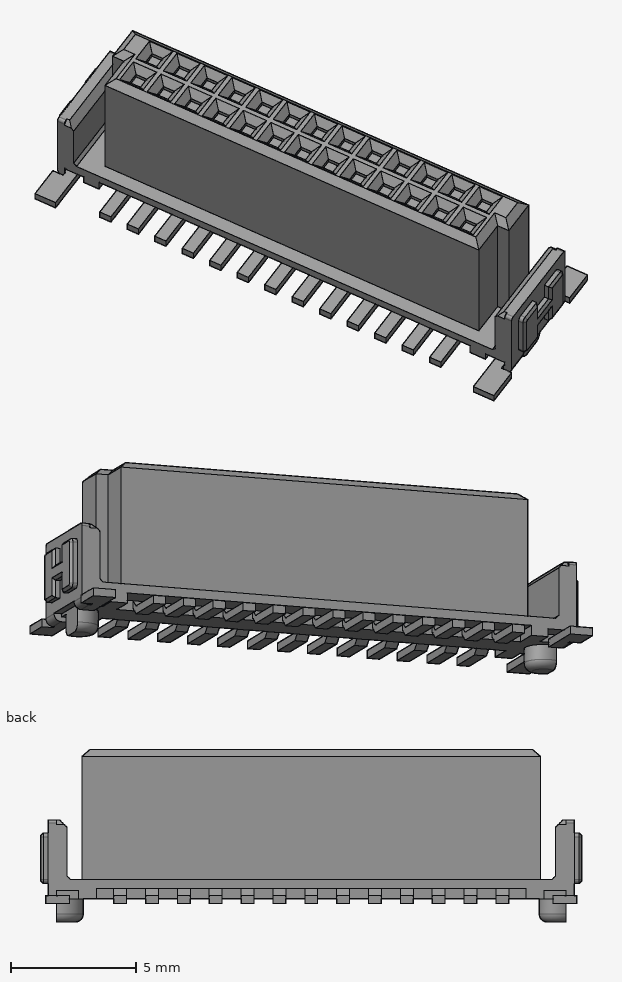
import cadquery as cq

LEAD_THICKNESS = 0.32
BODY_BOTTOM = 0.2
FLOOR_TOP = 0.97
WALL_TOP = 3.35
TOWER_TOP = 6.15

CUT_MARGIN = 0.22

COLUMNS = 13
ROW_LENGTH = 15.25
PITCH = ROW_LENGTH / (COLUMNS - 1)
FIRST_COLUMN_X = -ROW_LENGTH / 2

BASE_WIDTH = 4.23
WALL_OUTER_X = 10.17
WALL_INNER_X = 9.74
WALL_END_CHAMFER = 0.2
WALL_INNER_CHAMFER = 0.3
FLOOR_CHAMFER = 0.13

TOWER_WIDTH = 3.07
REAR_END_X = 9.15
FRONT_END_X = 8.64
STEP_Y = -0.05
TOWER_CHAMFER_RUN = 0.32
TOWER_CHAMFER_DROP = 0.28

SOCKET_MOUTH = 1.08
SOCKET_HOLE = 0.5
FUNNEL_DEPTH = 0.3
HOLE_DEPTH = 0.15

LEAD_WIDTH = 0.52
LEAD_TIP_Y = 3.24
LEAD_BEND_Y = 1.2
LEAD_RISE_RUN = 0.35
UNDERCUT_LENGTH = 17.15
UNDERCUT_TOP = 0.6
UNDERCUT_Y = 0.86
LEAD_ROOT_Y = 0.65

PLATE_OUTER_X = 10.5
PLATE_CORNER = 0.13
FOOT_INNER_X = 9.65
FOOT_INNER_Y = 1.17
FOOT_BEND_RADIUS = 0.3
WING_OUTER_X = 10.6
WING_START_Y = 2.29
WING_SPAN = 7.4
NECK_OUTER_X = 10.13
FOOT_POCKET_X = 9.28
FOOT_POCKET_TOP = 0.52

EMBOSS_OUTER_X = 10.8
EMBOSS_WIDTH = 3.1
EMBOSS_HEIGHT = 2.03
EMBOSS_CENTER_Z = 1.81
EMBOSS_GAP = 0.95
EMBOSS_BAR_HEIGHT = 0.6
EMBOSS_CORNER = 0.17
EMBOSS_CHAMFER = 0.1

PEG_RADIUS = 0.75
PEG_CENTER_X = 9.85
PEG_BOTTOM = -0.73
PEG_FILLET = 0.32


def block(x, y, z):
    """Box given by its (low, high) limits along each axis."""
    size = (x[1] - x[0], y[1] - y[0], z[1] - z[0])
    return cq.Workplane("XY").box(*size, centered=False).translate((x[0], y[0], z[0]))


def both_sides(shape, plane):
    """Shape joined with its mirror image."""
    return shape.union(shape.mirror(plane))


def repeated(shape, points):
    """Copies of the shape at the given (x, y) points."""
    return cq.Workplane("XY").pushPoints(points).eachpoint(
        lambda place: shape.val().moved(place), combine=False
    )


def make_base():
    base = block(
        (-WALL_OUTER_X, WALL_OUTER_X), (-BASE_WIDTH / 2, BASE_WIDTH / 2), (BODY_BOTTOM, WALL_TOP)
    )
    valley = block(
        (-WALL_INNER_X, WALL_INNER_X), (-BASE_WIDTH, BASE_WIDTH), (FLOOR_TOP, WALL_TOP + CUT_MARGIN)
    ).edges("|Y and <Z").chamfer(FLOOR_CHAMFER)
    base = base.cut(valley)
    base = base.faces(">Z").edges("|X").chamfer(WALL_END_CHAMFER)
    for side in (-1, 1):
        inner_edge = cq.selectors.NearestToPointSelector((side * WALL_INNER_X, 0, WALL_TOP))
        base = base.edges(inner_edge).chamfer(WALL_INNER_CHAMFER)
    undercut = block(
        (-UNDERCUT_LENGTH / 2, UNDERCUT_LENGTH / 2), (-BASE_WIDTH, -UNDERCUT_Y), (0, UNDERCUT_TOP)
    )
    foot_pocket = block(
        (-WALL_OUTER_X - CUT_MARGIN, -FOOT_POCKET_X), (-BASE_WIDTH, -FOOT_INNER_Y), (0, FOOT_POCKET_TOP)
    )
    pockets = undercut.union(both_sides(foot_pocket, "YZ"))
    return base.cut(both_sides(pockets, "XZ"))


def tower_outline(inset):
    """Stepped outline of the tower, drawn in by the given inset."""
    rear_x = REAR_END_X - inset
    front_x = FRONT_END_X - inset
    side_y = TOWER_WIDTH / 2 - inset
    step_y = STEP_Y + inset
    return [
        (-rear_x, side_y),
        (rear_x, side_y),
        (rear_x, step_y),
        (front_x, step_y),
        (front_x, -side_y),
        (-front_x, -side_y),
        (-front_x, step_y),
        (-rear_x, step_y),
    ]


def make_tower():
    shoulder = TOWER_TOP - TOWER_CHAMFER_DROP
    tower = (
        cq.Workplane("XY", origin=(0, 0, FLOOR_TOP))
        .polyline(tower_outline(0)).close().extrude(shoulder - FLOOR_TOP)
    )
    bevel = (
        cq.Workplane("XY", origin=(0, 0, shoulder))
        .polyline(tower_outline(0)).close()
        .workplane(offset=TOWER_CHAMFER_DROP)
        .polyline(tower_outline(TOWER_CHAMFER_RUN)).close()
        .loft(ruled=True)
    )
    return tower.union(bevel)


def make_socket():
    """Funnel-mouthed square cavity."""
    funnel = (
        cq.Workplane("XY", origin=(0, 0, TOWER_TOP))
        .rect(SOCKET_MOUTH, SOCKET_MOUTH)
        .workplane(offset=-FUNNEL_DEPTH)
        .rect(SOCKET_HOLE, SOCKET_HOLE)
        .loft(ruled=True)
    )
    hole = (
        cq.Workplane("XY", origin=(0, 0, TOWER_TOP - FUNNEL_DEPTH))
        .rect(SOCKET_HOLE, SOCKET_HOLE).extrude(-HOLE_DEPTH)
    )
    return funnel.union(hole)


def make_lead():
    """Front lead: a flat solder tail that rises at its inner end into the base."""
    rise_end_y = -LEAD_BEND_Y + LEAD_RISE_RUN
    rise = UNDERCUT_TOP - LEAD_THICKNESS
    return (
        cq.Workplane("YZ", origin=(-LEAD_WIDTH / 2, 0, 0))
        .moveTo(-LEAD_TIP_Y, 0)
        .lineTo(-LEAD_BEND_Y, 0)
        .lineTo(rise_end_y, rise)
        .lineTo(-LEAD_ROOT_Y, rise)
        .lineTo(-LEAD_ROOT_Y, UNDERCUT_TOP)
        .lineTo(rise_end_y, UNDERCUT_TOP)
        .lineTo(-LEAD_BEND_Y, LEAD_THICKNESS)
        .lineTo(-LEAD_TIP_Y, LEAD_THICKNESS)
        .close().extrude(LEAD_WIDTH)
    )


def make_plate():
    """Left hold-down plate with its two bent solder feet."""
    plate = block(
        (-PLATE_OUTER_X, -WALL_OUTER_X), (-BASE_WIDTH / 2, BASE_WIDTH / 2), (LEAD_THICKNESS, WALL_TOP)
    ).edges("|X and >Z").fillet(PLATE_CORNER)
    thickness = (0, LEAD_THICKNESS)
    foot = block(
        (-PLATE_OUTER_X, -FOOT_INNER_X), (-BASE_WIDTH / 2, -FOOT_INNER_Y), thickness
    ).edges("|Y and <X and <Z").fillet(FOOT_BEND_RADIUS)
    neck = block((-NECK_OUTER_X, -FOOT_INNER_X), (-WING_START_Y, -BASE_WIDTH / 2), thickness)
    wing = block((-WING_OUTER_X, -FOOT_INNER_X), (-WING_SPAN / 2, -WING_START_Y), thickness)
    return plate.union(both_sides(foot.union(neck).union(wing), "XZ"))


def make_emboss():
    """Left H-shaped embossing with rounded outer corners and a bevelled rim."""
    notch_height = (EMBOSS_HEIGHT - EMBOSS_BAR_HEIGHT) / 2
    notch_z = (EMBOSS_BAR_HEIGHT + notch_height) / 2
    height = EMBOSS_OUTER_X - PLATE_OUTER_X
    plane = cq.Workplane("YZ", origin=(-PLATE_OUTER_X, 0, EMBOSS_CENTER_Z))
    emboss = plane.rect(EMBOSS_WIDTH, EMBOSS_HEIGHT).extrude(-height)
    emboss = emboss.edges("|X").fillet(EMBOSS_CORNER)
    notches = plane.pushPoints([(0, notch_z), (0, -notch_z)]).rect(EMBOSS_GAP, notch_height).extrude(-height)
    return emboss.cut(notches).faces("<X").edges().chamfer(EMBOSS_CHAMFER)


def make_peg():
    """Left locating peg, cut flat in line with the outer face of the end wall."""
    peg = (
        cq.Workplane("XY", origin=(-PEG_CENTER_X, 0, PEG_BOTTOM))
        .circle(PEG_RADIUS).extrude(FLOOR_TOP - PEG_BOTTOM)
        .faces("<Z").edges().fillet(PEG_FILLET)
    )
    keep = block((-WALL_OUTER_X, 0), (-PEG_RADIUS, PEG_RADIUS), (PEG_BOTTOM, FLOOR_TOP))
    return peg.intersect(keep)


result = make_base().union(make_tower())

left_end = make_plate().union(make_emboss()).union(make_peg())
result = result.union(both_sides(left_end, "YZ"))

column_x = [FIRST_COLUMN_X + column * PITCH for column in range(COLUMNS)]
lead_pair = both_sides(make_lead(), "XZ")
result = result.union(repeated(lead_pair, [(x, 0) for x in column_x]))

socket_points = [(x, y) for x in column_x for y in (-PITCH / 2, PITCH / 2)]
result = result.cut(repeated(make_socket(), socket_points))